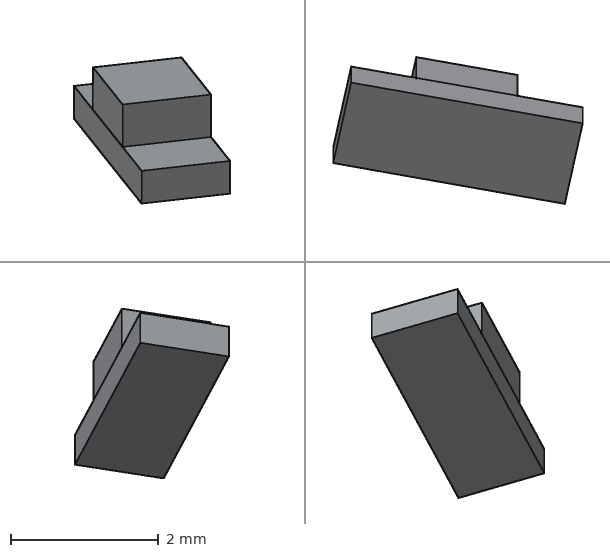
import cadquery as cq

base_length = 3.2
body_width = 1.25
total_height = 1.1
base_height = 0.48
block_length = 1.4

block_height = total_height - base_height


def make_base():
    """Flat base plate, centred on the origin in X and Y, with its underside at Z = 0."""
    return cq.Workplane("XY").box(base_length, body_width, base_height, centered=(True, True, False))


def make_block():
    """Full-width block standing on the middle of the base plate."""
    return (
        cq.Workplane("XY")
        .workplane(offset=base_height)
        .box(block_length, body_width, block_height, centered=(True, True, False))
    )


base = make_base()
block = make_block()

result = cq.Compound.makeCompound([base.val(), block.val()])